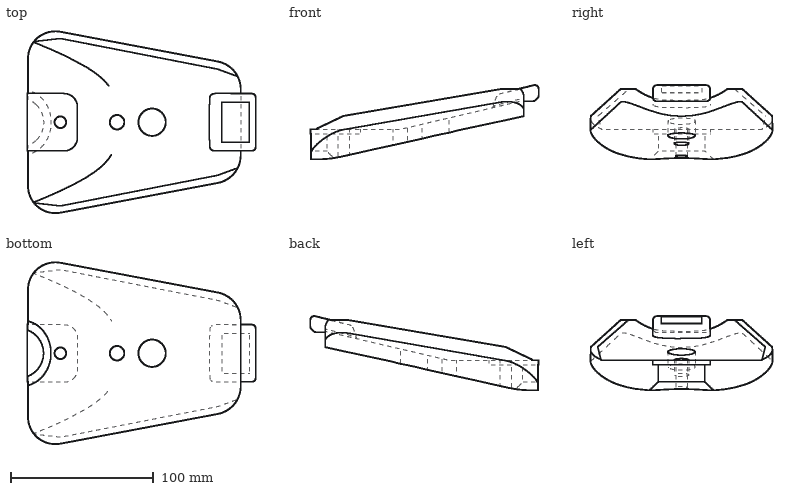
import cadquery as cq
import math


shell_length = 149.0
wide_half_width = 63.675
wide_corner_radius = 19.3
narrow_corner_radius = 20.0
taper_angle = math.radians(10.7)
reach = 60.0
margin = 2.0

rim_start_x = 3.3
rim_knee_x, rim_knee_z = 22.8, 9.3
rim_top_x, rim_top_z = 132.8, 28.1

floor_start_x = 62.4
floor_slope = 0.234
channel_half_width = 58.6
channel_narrowing = 0.1955
channel_rise = 18.6
channel_rise_loss = 0.0636
channel_power = 3.5

base_z = -21.66
base_slope = 0.222
base_bend_x = 21.5
base_half_width = 63.0
base_rise = 18.3
base_rise_loss = 0.0464
base_power_wide, base_power_narrow = 3.5, 2.0

grid_start_x, grid_end_x, grid_step_x = -10, 160, 10
grid_half_y, grid_step_y = 72, 6
surface_tolerance = 0.02

bolt_x, bolt_diameter = 22.75, 8.0
small_hole_x, small_hole_diameter = floor_start_x, 10.0
large_hole_x, large_hole_diameter = 86.9, 18.98
scallop_x = -6.3
scallop_radius = 17.3
scallop_flare_z = -15.1
scallop_flare = 12.0

plate_thickness = 3.1
plate_width = 40.2
plate_overhang = 0.5
plate_end_x = 34.7
plate_corner_radius = 9.5

pad_width = plate_width
pad_foot_x, pad_foot_z = 125.2, 10.0
pad_shoulder_x, pad_shoulder_z = 130.2, 24.42
pad_slope = 0.25
pad_end_x = 159.5
pad_bottom_z = 19.4
pad_bottom_chamfer = 3.2
pad_root_x = 148.0
pad_shoulder_radius = 4.5
pad_fillet = 3.0
recess_start_x, recess_end_x = 135.5, 155.0
recess_width = 28.2
recess_depth = 0.2


def channel_z(x, y):
    """Height of the inner surface of the channel."""
    along = x - rim_knee_x
    half_width = channel_half_width - channel_narrowing * along
    rise = channel_rise - channel_rise_loss * along
    floor_z = floor_slope * (x - floor_start_x)
    return floor_z + rise * (abs(y) / half_width) ** channel_power


def underside_z(x, y):
    """Height of the outer, lower surface."""
    along = x - rim_knee_x
    inside_x = max(0.0, x)
    half_width = base_half_width - math.tan(taper_angle) * along
    rise = base_rise - base_rise_loss * along
    power = base_power_wide + (base_power_narrow - base_power_wide) * inside_x / shell_length
    if x < base_bend_x:
        climb = base_slope * inside_x ** 2 / (2 * base_bend_x)
    else:
        climb = base_slope * (x - base_bend_x / 2)
    return base_z + climb + rise * (abs(y) / half_width) ** power


def surface(height):
    """Smooth face through height(x, y), larger than the shell on every side."""
    rows = []
    for x in range(grid_start_x, grid_end_x + 1, grid_step_x):
        row = [cq.Vector(x, y, height(x, y)) for y in range(-grid_half_y, grid_half_y + 1, grid_step_y)]
        rows.append(row)
    return cq.Face.makeSplineApprox(rows, tol=surface_tolerance, minDeg=3, maxDeg=5)


def part_above(block, face):
    """The upper of the two pieces that a face splits a block into."""
    pieces = block.val().split(face).Solids()
    return cq.Workplane(max(pieces, key=lambda piece: piece.Center().z))


def extrude_across(points, width):
    """Prism along Y, centred on Y = 0, from points in the XZ plane."""
    return cq.Workplane("XZ").polyline(points).close().extrude(width / 2, both=True)


def drill(x, diameter):
    return cq.Workplane("XY").center(x, 0).circle(diameter / 2).extrude(reach, both=True)


def point_on_arc(centre, radius, angle):
    return (centre[0] + radius * math.cos(angle), centre[1] + radius * math.sin(angle))


def mirrored(point):
    return (point[0], -point[1])


def make_outline_block():
    """Vertical prism of the tapered outline with its four rounded corners."""
    tangent_angle = math.pi / 2 - taper_angle
    wide_centre = (wide_corner_radius, wide_half_width - wide_corner_radius)
    wide_end = (0, wide_centre[1])
    wide_mid = point_on_arc(wide_centre, wide_corner_radius, math.radians(135))
    wide_tangent = point_on_arc(wide_centre, wide_corner_radius, tangent_angle)

    narrow_centre_x = shell_length - narrow_corner_radius
    centre_run = narrow_centre_x - wide_centre[0]
    radius_gain = narrow_corner_radius - wide_corner_radius
    narrow_centre_y = wide_centre[1] - centre_run * math.tan(taper_angle) - radius_gain / math.cos(taper_angle)
    narrow_centre = (narrow_centre_x, narrow_centre_y)
    narrow_tangent = point_on_arc(narrow_centre, narrow_corner_radius, tangent_angle)
    narrow_mid = point_on_arc(narrow_centre, narrow_corner_radius, math.radians(45))
    narrow_end = (shell_length, narrow_centre_y)

    return (
        cq.Workplane("XY")
        .workplane(offset=-reach)
        .moveTo(*mirrored(wide_end))
        .lineTo(*wide_end)
        .threePointArc(wide_mid, wide_tangent)
        .lineTo(*narrow_tangent)
        .threePointArc(narrow_mid, narrow_end)
        .lineTo(*mirrored(narrow_end))
        .threePointArc(mirrored(narrow_mid), mirrored(narrow_tangent))
        .lineTo(*mirrored(wide_tangent))
        .threePointArc(mirrored(wide_mid), mirrored(wide_end))
        .close()
        .extrude(2 * reach)
    )


def make_rim_block():
    """Everything below the rim line, right across the shell."""
    rim_line = [
        (0, 0),
        (rim_start_x, 0),
        (rim_knee_x, rim_knee_z),
        (rim_top_x, rim_top_z),
        (shell_length, rim_top_z),
    ]
    return extrude_across([(0, -reach)] + rim_line + [(shell_length, -reach)], 2 * (wide_half_width + margin))


def make_channel():
    """Space above both the channel surface and the flat top."""
    length = shell_length + 2 * margin
    width = 2 * (wide_half_width + margin)
    from_corner = (False, True, False)
    block = cq.Workplane("XY", origin=(-margin, 0, -reach)).box(length, width, 2 * reach, centered=from_corner)
    above_flat_top = cq.Workplane("XY", origin=(-margin, 0, 0)).box(length, width, reach, centered=from_corner)
    return part_above(block, surface(channel_z)).intersect(above_flat_top)


def make_scallop():
    """Upright round cutter below the plate, with a 45 degree flare at its foot."""
    foot_z = scallop_flare_z - scallop_flare
    half_section = [
        (0, -plate_thickness),
        (scallop_radius, -plate_thickness),
        (scallop_radius, scallop_flare_z),
        (scallop_radius + scallop_flare, foot_z),
        (0, foot_z),
    ]
    cutter = cq.Workplane("XZ").polyline(half_section).close().revolve(360, (0, 0, 0), (0, 1, 0))
    return cutter.translate((scallop_x, 0, 0))


def make_plate():
    plate = (
        cq.Workplane("XY", origin=(-plate_overhang, 0, -plate_thickness))
        .box(plate_end_x + plate_overhang, plate_width, plate_thickness, centered=(False, True, False))
        .edges("|Z and >X")
        .fillet(plate_corner_radius)
    )
    return plate.cut(drill(bolt_x, bolt_diameter))


def make_shell(plate):
    shell = part_above(make_outline_block().intersect(make_rim_block()), surface(underside_z))
    shell = shell.cut(make_channel()).cut(make_scallop()).cut(plate)
    shell = shell.cut(drill(bolt_x, bolt_diameter))
    shell = shell.cut(drill(small_hole_x, small_hole_diameter))
    return shell.cut(drill(large_hole_x, large_hole_diameter))


def pad_top_z(x):
    return pad_shoulder_z + pad_slope * (x - pad_shoulder_x)


def make_pad_recess():
    """Shallow rectangular recess that follows the sloping top."""
    start_z = pad_top_z(recess_start_x)
    end_z = pad_top_z(recess_end_x)
    section = [
        (recess_start_x, start_z - recess_depth),
        (recess_end_x, end_z - recess_depth),
        (recess_end_x, end_z + recess_depth),
        (recess_start_x, start_z + recess_depth),
    ]
    return extrude_across(section, recess_width)


def make_pad(shell):
    """Rounded wedge whose underside is shaped by the channel it rests in."""
    section = [
        (pad_foot_x, pad_foot_z),
        (pad_shoulder_x, pad_shoulder_z),
        (pad_end_x, pad_top_z(pad_end_x)),
        (pad_end_x, pad_bottom_z + pad_bottom_chamfer),
        (pad_end_x - pad_bottom_chamfer, pad_bottom_z),
        (pad_root_x, pad_bottom_z),
    ]
    pad = extrude_across(section, pad_width)
    shoulder = cq.selectors.NearestToPointSelector((pad_shoulder_x, 0, pad_shoulder_z))
    pad = pad.edges(shoulder).fillet(pad_shoulder_radius)
    above_root = cq.selectors.BoxSelector(
        (pad_foot_x, -pad_width, pad_foot_z + pad_fillet), (pad_end_x + margin, pad_width, reach))
    beyond_root = cq.selectors.BoxSelector(
        (pad_root_x + margin, -pad_width, pad_foot_z), (pad_end_x + margin, pad_width, reach))
    lengthwise_edges = pad.edges(above_root).edges("not |Y")
    end_edges = pad.edges(beyond_root).edges("|Y")
    pad = lengthwise_edges.add(end_edges).fillet(pad_fillet)
    return pad.cut(make_pad_recess()).cut(shell)


plate = make_plate()
shell = make_shell(plate)
pad = make_pad(shell)
result = cq.Compound.makeCompound([shell.val(), plate.val(), pad.val()])